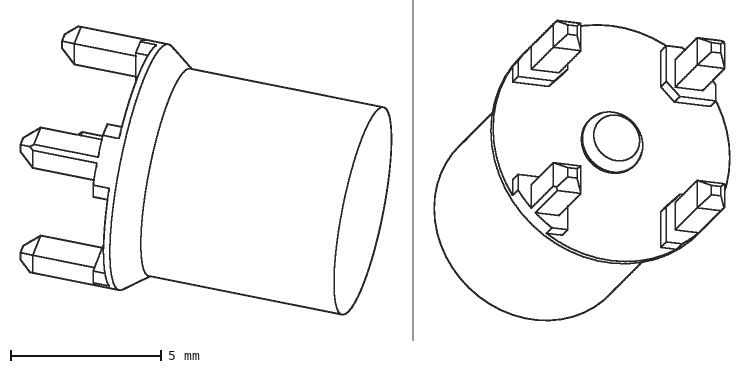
import cadquery as cq

total_length = 11.08
pin_taper_length = 0.52
pad_start = 2.74
boss_start = 2.77
boss_cone_end = 3.18
base_face = 3.29
rim_end = 3.51
barrel_start = 4.4

rim_radius = 4.18
barrel_radius = 3.52
boss_radius = 1.06
boss_tip_radius = 0.81

pin_pitch = 5.07
pin_width = 0.98
pin_tip_width = 0.33
pad_inner = 1.74
pad_outer = 3.49
pad_chamfer = 0.48


def make_body():
    """Barrel, conical flange and central boss, revolved about the X axis."""
    profile = [
        (boss_start, 0),
        (boss_start, boss_tip_radius),
        (boss_cone_end, boss_radius),
        (base_face, boss_radius),
        (base_face, rim_radius),
        (rim_end, rim_radius),
        (barrel_start, barrel_radius),
        (total_length, barrel_radius),
        (total_length, 0),
    ]
    return cq.Workplane("XY").polyline(profile).close().revolve(360, (0, 0), (1, 0))


def make_pad(y_side, z_side):
    """Corner standoff with its inner corner chamfered."""
    chamfer_end = pad_inner + pad_chamfer
    outline = [
        (chamfer_end, pad_inner),
        (pad_outer, pad_inner),
        (pad_outer, pad_outer),
        (pad_inner, pad_outer),
        (pad_inner, chamfer_end),
    ]
    points = [(y_side * y, z_side * z) for y, z in outline]
    return cq.Workplane("YZ", origin=(pad_start, 0, 0)).polyline(points).close().extrude(rim_end - pad_start)


def make_pin(y_side, z_side):
    """Square pin with a tapered tip, rooted in the flange."""
    y_center = y_side * pin_pitch / 2
    z_center = z_side * pin_pitch / 2
    tip = (
        cq.Workplane("YZ", origin=(0, y_center, z_center))
        .rect(pin_tip_width, pin_tip_width)
        .workplane(offset=pin_taper_length)
        .rect(pin_width, pin_width)
        .loft(ruled=True)
    )
    shank = (
        cq.Workplane("YZ", origin=(pin_taper_length, y_center, z_center))
        .rect(pin_width, pin_width)
        .extrude(rim_end - pin_taper_length)
    )
    return tip.union(shank)


rim_envelope = cq.Workplane("YZ").circle(rim_radius).extrude(rim_end)

result = make_body()
for y_side in (-1, 1):
    for z_side in (-1, 1):
        contact = make_pad(y_side, z_side).union(make_pin(y_side, z_side))
        result = result.union(contact.intersect(rim_envelope))